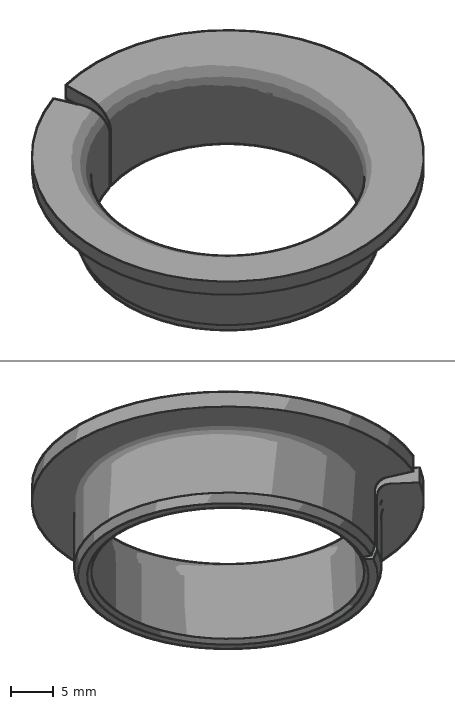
import cadquery as cq
import math

flange_radius = 23.0
total_height = 12.0
wall = 2.02
bore_radius = 16.0
inner_bend = 3.5
chamfer_height = 1.2
chamfer_angle = 20.0
bore_chamfer = 0.5
slit_apex_radius = 15.05
slit_half_angle = 10.0

sleeve_radius = bore_radius + wall
outer_bend = inner_bend - wall
bend_radius_position = bore_radius + inner_bend
bend_height = total_height - inner_bend
flange_bottom = total_height - wall
chamfer_width = chamfer_height * math.tan(math.radians(chamfer_angle))
cos_45 = math.cos(math.radians(45))


def bend_midpoint(radius):
    """Point halfway along a quarter bend around the shared bend center."""
    return (bend_radius_position - radius * cos_45, bend_height + radius * cos_45)


def flanged_sleeve():
    return (
        cq.Workplane("XZ")
        .moveTo(bore_radius, bore_chamfer)
        .lineTo(bore_radius + bore_chamfer, 0)
        .lineTo(sleeve_radius - chamfer_width, 0)
        .lineTo(sleeve_radius, chamfer_height)
        .lineTo(sleeve_radius, bend_height)
        .threePointArc(bend_midpoint(outer_bend), (bend_radius_position, flange_bottom))
        .lineTo(flange_radius, flange_bottom)
        .lineTo(flange_radius, total_height)
        .lineTo(bend_radius_position, total_height)
        .threePointArc(bend_midpoint(inner_bend), (bore_radius, bend_height))
        .close()
        .revolve(360, (0, 0), (0, 1))
        .rotate((0, 0, 0), (0, 0, 1), 180)
    )


def slit_wedge():
    outer_x = 1.2 * flange_radius
    half_width = (outer_x - slit_apex_radius) * math.tan(math.radians(slit_half_angle))
    return (
        cq.Workplane("XY")
        .polyline([(-slit_apex_radius, 0), (-outer_x, half_width), (-outer_x, -half_width)])
        .close()
        .extrude(total_height)
    )


result = flanged_sleeve().cut(slit_wedge())